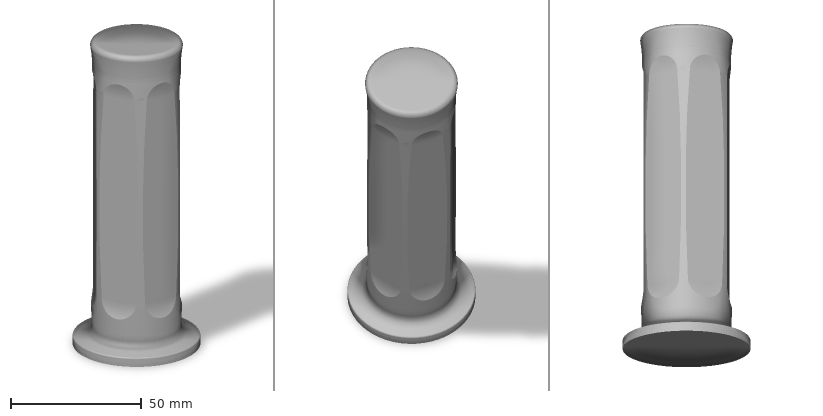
import cadquery as cq
import math

total_height = 125.0

flange_radius = 24.5
rim_height = 3.1
rim_round = 0.6
slope_top_radius = 18.9
slope_top_z = 5.1

neck_radius = 17.1

barrel_top_radius = 17.0
barrel_top_z = 114.0
barrel_mid_radius = 18.0
barrel_mid_z = 66.0

head_base_z = 115.5
head_radius = 17.8
top_round = 2.0
head_edge_z = total_height - top_round
flare_mid_radius = 17.2
flare_mid_z = 119.2

flat_count = 6
flat_distance = 16.0
flat_bottom_z = 23.0
flat_top_z = 106.9
runout_radius = 17.5
cutter_depth = 5.0
cutter_width = 25.0


def arc_middle(center_r, center_z, radius):
    """Middle point of a convex quarter round facing outward and upward."""
    offset = radius * math.sqrt(0.5)
    return center_r + offset, center_z + offset


def grip_body():
    """Revolved flange, neck, barrel and head."""
    slope_run = flange_radius - rim_round - slope_top_radius
    slope_angle = math.atan2(slope_top_z - rim_height - rim_round, slope_run)
    root_round = (slope_top_radius - neck_radius) / (1 - math.sin(slope_angle))
    root_center_r = neck_radius + root_round
    neck_z = slope_top_z + root_round * math.cos(slope_angle)
    mid_angle = (math.pi / 2 - slope_angle) / 2
    root_mid = (
        root_center_r - root_round * math.cos(mid_angle),
        neck_z - root_round * math.sin(mid_angle),
    )

    rim_mid = arc_middle(flange_radius - rim_round, rim_height, rim_round)
    top_mid = arc_middle(head_radius - top_round, head_edge_z, top_round)
    return (
        cq.Workplane("XZ")
        .lineTo(flange_radius, 0)
        .lineTo(flange_radius, rim_height)
        .threePointArc(rim_mid, (flange_radius - rim_round, rim_height + rim_round))
        .lineTo(slope_top_radius, slope_top_z)
        .threePointArc(root_mid, (neck_radius, neck_z))
        .threePointArc((barrel_mid_radius, barrel_mid_z), (barrel_top_radius, barrel_top_z))
        .lineTo(barrel_top_radius, head_base_z)
        .threePointArc((flare_mid_radius, flare_mid_z), (head_radius, head_edge_z))
        .threePointArc(top_mid, (head_radius - top_round, total_height))
        .lineTo(0, total_height)
        .close()
        .revolve(360, (0, 0, 0), (0, 1, 0))
    )


def flat_cutter():
    """Cutter for the flat facing +X; each end curves outward along a tangent arc."""
    outer_x = flat_distance + cutter_depth
    end_reach = math.sqrt(runout_radius**2 - (runout_radius - cutter_depth) ** 2)
    half_drop = runout_radius - math.sqrt(runout_radius**2 - (end_reach / 2) ** 2)
    mid_x = flat_distance + half_drop
    return (
        cq.Workplane("XZ", origin=(0, cutter_width / 2, 0))
        .moveTo(flat_distance, flat_bottom_z)
        .lineTo(flat_distance, flat_top_z)
        .threePointArc((mid_x, flat_top_z + end_reach / 2), (outer_x, flat_top_z + end_reach))
        .lineTo(outer_x, flat_bottom_z - end_reach)
        .threePointArc((mid_x, flat_bottom_z - end_reach / 2), (flat_distance, flat_bottom_z))
        .close()
        .extrude(cutter_width)
    )


result = grip_body()
for index in range(flat_count):
    angle = index * 360 / flat_count
    result = result.cut(flat_cutter().rotate((0, 0, 0), (0, 0, 1), angle))